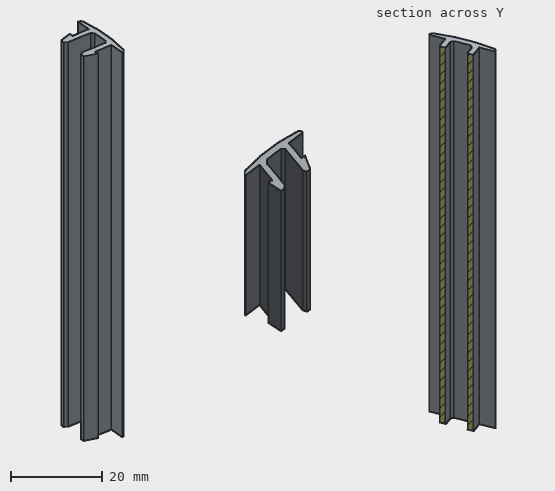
import cadquery as cq
import math

length = 100.0
cover_width = 16.0
depth = 9.26

cover_thickness = 1.6
crown_height = 0.8
corner_radius = 0.9

leg_outer = 4.1
leg_thickness = 1.5
leg_inner = leg_outer - leg_thickness
root_chamfer = 0.6

barb_width = 1.0
barb_outer = leg_outer + barb_width
barb_depth = 6.05
lead_in_width = 0.5
lead_in_angle = 30.0
lead_in_height = lead_in_width / math.tan(math.radians(lead_in_angle))


def cover_plate():
    """Plate with a crowned outer face and rounded outer corners."""
    half_width = cover_width / 2
    plate = (
        cq.Workplane("XY")
        .moveTo(-half_width, -cover_thickness)
        .lineTo(half_width, -cover_thickness)
        .lineTo(half_width, -crown_height)
        .threePointArc((0, 0), (-half_width, -crown_height))
        .close()
        .extrude(length)
    )
    crown_corners = cq.selectors.BoxSelector(
        (-cover_width, -crown_height - corner_radius / 2, 0),
        (cover_width, -crown_height + corner_radius / 2, length),
    )
    return plate.edges("|Z").edges(crown_corners).fillet(corner_radius)


def barbed_leg():
    """Leg on the +X side with a chamfered root, an outward barb and a tapered tip."""
    leg_start = -(crown_height + cover_thickness) / 2
    outline = [
        (leg_inner - root_chamfer, leg_start),
        (leg_inner - root_chamfer, -cover_thickness),
        (leg_inner, -cover_thickness - root_chamfer),
        (leg_inner, -depth + lead_in_height),
        (leg_inner + lead_in_width, -depth),
        (leg_outer, -depth),
        (barb_outer, -barb_depth),
        (leg_outer, -barb_depth),
        (leg_outer, leg_start),
    ]
    return cq.Workplane("XY").polyline(outline).close().extrude(length)


right_leg = barbed_leg()
left_leg = right_leg.mirror("YZ")
result = cover_plate().union(right_leg).union(left_leg)